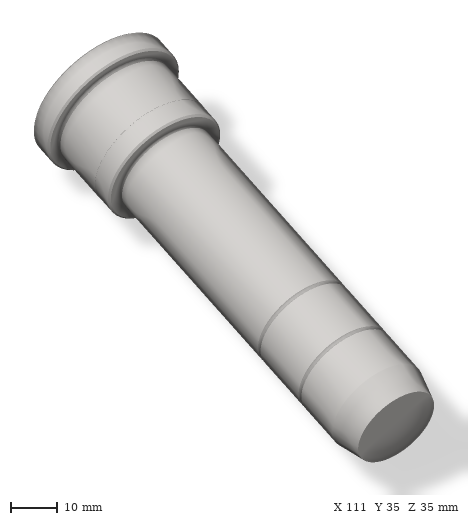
import cadquery as cq
import math

length = 111.0
head_radius = 35.0 / 2
head_length = 6.0
edge_chamfer = 0.4

shoulder_radius = 30.0 / 2
shoulder_end = 25.0
lead_start = 19.8
lead_clearance = 0.05

shaft_radius = 24.0 / 2
taper_length = 7.0
taper_angle = math.radians(15)
tip_radius = shaft_radius - taper_length * math.tan(taper_angle)

groove_depth = 0.3

head_relief_width = 0.9
shaft_relief_width = 0.7

groove_starts = (76.3, 91.5)
groove_width = 1.0


def add_groove(profile, start, radius, width):
    """Continue along a cylinder of the given radius and cut one rounded groove."""
    return profile.lineTo(start, radius).threePointArc(
        (start + width / 2, radius - groove_depth),
        (start + width, radius),
    )


profile = (
    cq.Workplane("XY")
    .lineTo(0, head_radius - edge_chamfer)
    .lineTo(edge_chamfer, head_radius)
    .lineTo(head_length - edge_chamfer, head_radius)
    .lineTo(head_length, head_radius - edge_chamfer)
)

lead_radius = shoulder_radius - lead_clearance
profile = add_groove(profile, head_length, shoulder_radius, head_relief_width)
profile = (
    profile.lineTo(lead_start, shoulder_radius)
    .lineTo(lead_start, lead_radius)
    .lineTo(shoulder_end - edge_chamfer, lead_radius)
    .lineTo(shoulder_end, lead_radius - edge_chamfer)
)

profile = add_groove(profile, shoulder_end, shaft_radius, shaft_relief_width)
for groove_start in groove_starts:
    profile = add_groove(profile, groove_start, shaft_radius, groove_width)
profile = (
    profile.lineTo(length - taper_length, shaft_radius)
    .lineTo(length, tip_radius)
    .lineTo(length, 0)
    .close()
)

result = profile.revolve(360, (1.1, 0, 0), (0, 0, 0))